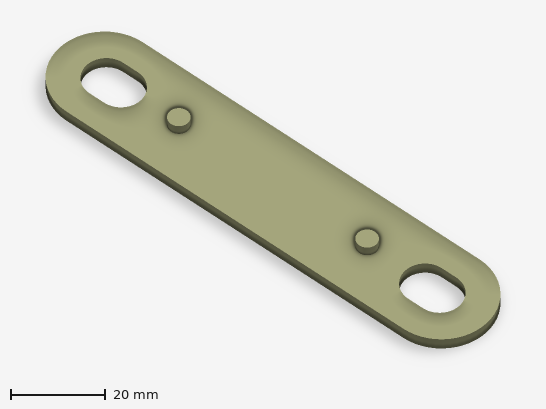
import cadquery as cq

plate_length = 118.0
plate_width = 25.0
plate_thickness = 3.0

slot_length = 15.0
slot_width = 11.0
slot_spacing = 88.0

peg_diameter = 5.0
peg_height = 2.5
peg_spacing = 52.0


def mirrored_pair(spacing):
    """Two points on the X axis, symmetric about the plate centre."""
    return [(-spacing / 2, 0), (spacing / 2, 0)]


def make_plate():
    return cq.Workplane("XY").slot2D(plate_length, plate_width).extrude(plate_thickness)


def make_slots():
    return (
        cq.Workplane("XY")
        .pushPoints(mirrored_pair(slot_spacing))
        .slot2D(slot_length, slot_width)
        .extrude(plate_thickness)
    )


def make_pegs():
    return (
        cq.Workplane("XY")
        .pushPoints(mirrored_pair(peg_spacing))
        .circle(peg_diameter / 2)
        .extrude(plate_thickness + peg_height)
    )


result = make_plate().cut(make_slots()).union(make_pegs())